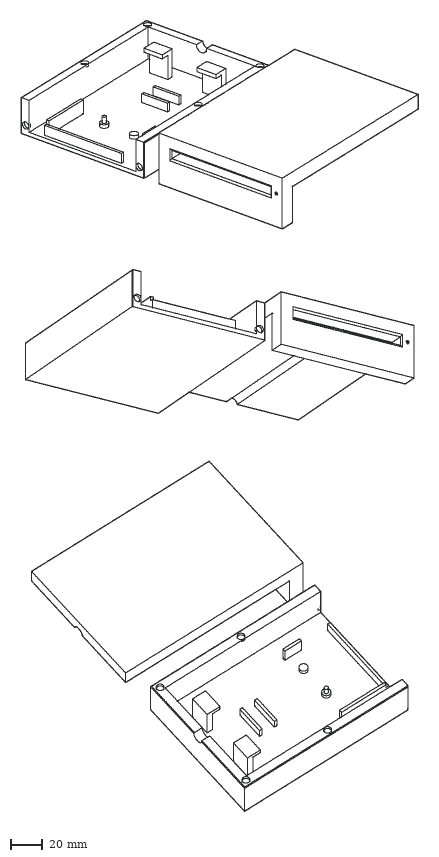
import cadquery as cq

OVERALL_LENGTH = 212.0
CASE_WIDTH = 100.0
CASE_DEPTH = 143.0
CASE_HEIGHT = 37.0
PANEL_THICKNESS = 11.0
LID_THICKNESS = 10.8
TRAY_DEPTH = CASE_DEPTH - PANEL_THICKNESS
TRAY_HEIGHT = CASE_HEIGHT - LID_THICKNESS
COVER_X = OVERALL_LENGTH - CASE_WIDTH

WALL = 6.8
FLOOR = 3.0
EDGE_CHAMFER = 0.53

CABLE_DIAMETER = 8.0
CABLE_Z = 25.9

MAGNET_DIAMETER = 5.0
MAGNET_DEPTH = 2.0
MAGNET_INSET = 4.0
CORNER_INSET = 4.5
SIDE_MAGNET_Y = 62.1
FRONT_MAGNET_Z = 7.0

TOWER_LEFT_EDGES = (19.0, 62.0)
TOWER_WIDTHS = (14.8, 15.5)
TOWER_Y = 105.0
TOWER_DEPTH = 10.4
TOWER_TOP = 23.5
HOOK_THICKNESS = 3.0
STEM_DEPTH = 4.5

RIB_THICKNESS = 2.1
RIB_X = 39.5
RIB_LENGTH = 21.0
RIB_HEIGHT = 6.4
RIB_FRONT_FACES = (76.1, 88.0)
FENCE_LEFT = 17.0
FENCE_RIGHT = 79.3
FENCE_FRONT = 3.0
FENCE_BACK = 41.1
FRONT_FENCE_HEIGHT = 7.2
SIDE_FENCE_HEIGHT = 10.2
SHORT_FENCE_LENGTH = 13.4

POST_DIAMETER = 6.0
POST_HEIGHT = 2.5
POST_Y = 36.0
PIN_POST_X = 39.9
PLAIN_POST_X = 64.0
PIN_DIAMETER = 2.8
PIN_LENGTH = 4.7

SLOT_WIDTH = 80.5
SLOT_BOTTOM = 21.2
SLOT_TOP = 27.1
SLOT_BEVEL_SIDE = 0.8
SLOT_BEVEL_DEPTH = 1.0
SLOT_BEVEL_RISE = 1.5
LAMP_DIAMETER = 2.0
LAMP_DEPTH = 1.0
LAMP_X = 95.2
LAMP_Z = 24.2


def block(x, y, z, dx, dy, dz):
    """Box given by its left-front-bottom corner and its sizes."""
    return cq.Workplane("XY").box(dx, dy, dz, centered=False).translate((x, y, z))


def upright(x, y, z, diameter, height):
    """Vertical cylinder standing on the point (x, y, z)."""
    return cq.Workplane("XY").circle(diameter / 2).extrude(height).translate((x, y, z))


def lengthwise(x, y, z, diameter, length):
    """Cylinder along +Y starting at the point (x, y, z)."""
    return cq.Workplane("XZ").circle(diameter / 2).extrude(-length).translate((x, y, z))


def tray_shell():
    """Floor with two side walls and a back wall, open at the front and the top."""
    shell = block(0, 0, 0, CASE_WIDTH, TRAY_DEPTH, TRAY_HEIGHT)
    shell = shell.edges("((<X or >X or >Y) and >Z) or (<Y and (<X or >X))").chamfer(EDGE_CHAMFER)
    pocket = block(WALL, 0, FLOOR, CASE_WIDTH - 2 * WALL, TRAY_DEPTH - WALL, TRAY_HEIGHT)
    return shell.cut(pocket)


def tower(x, width):
    """Upright stem whose top reaches forward as a hook."""
    hook = block(x, TOWER_Y, TOWER_TOP - HOOK_THICKNESS, width, TOWER_DEPTH, HOOK_THICKNESS)
    stem_y = TOWER_Y + TOWER_DEPTH - STEM_DEPTH
    stem = block(x, stem_y, FLOOR, width, STEM_DEPTH, TOWER_TOP - FLOOR)
    return stem.union(hook)


def fences():
    """Front and left fences forming an L, and a short fence on the right."""
    front = block(FENCE_LEFT, FENCE_FRONT, FLOOR,
                  FENCE_RIGHT - FENCE_LEFT, RIB_THICKNESS, FRONT_FENCE_HEIGHT)
    left_y = FENCE_FRONT + RIB_THICKNESS
    left = block(FENCE_LEFT, left_y, FLOOR,
                 RIB_THICKNESS, FENCE_BACK - left_y, SIDE_FENCE_HEIGHT)
    right = block(FENCE_RIGHT - RIB_THICKNESS, FENCE_BACK - SHORT_FENCE_LENGTH, FLOOR,
                  RIB_THICKNESS, SHORT_FENCE_LENGTH, SIDE_FENCE_HEIGHT)
    return [front, left, right]


def posts():
    """A plain round post and one that carries a locating pin."""
    plain = upright(PLAIN_POST_X, POST_Y, FLOOR, POST_DIAMETER, POST_HEIGHT)
    base = upright(PIN_POST_X, POST_Y, FLOOR, POST_DIAMETER, POST_HEIGHT)
    pin = upright(PIN_POST_X, POST_Y, FLOOR, PIN_DIAMETER, POST_HEIGHT + PIN_LENGTH)
    return [plain, base.union(pin)]


def magnet_pockets():
    """Pockets in the wall tops and in the front ends of the side walls."""
    pocket_floor = TRAY_HEIGHT - MAGNET_DEPTH
    corner_y = TRAY_DEPTH - CORNER_INSET
    pockets = []
    for x in (CORNER_INSET, CASE_WIDTH - CORNER_INSET):
        pockets.append(upright(x, corner_y, pocket_floor, MAGNET_DIAMETER, MAGNET_DEPTH))
    for x in (MAGNET_INSET, CASE_WIDTH - MAGNET_INSET):
        pockets.append(upright(x, SIDE_MAGNET_Y, pocket_floor, MAGNET_DIAMETER, MAGNET_DEPTH))
        pockets.append(lengthwise(x, 0, FRONT_MAGNET_Z, MAGNET_DIAMETER, MAGNET_DEPTH))
    return pockets


def make_tray():
    tray = tray_shell()
    for x, width in zip(TOWER_LEFT_EDGES, TOWER_WIDTHS):
        tray = tray.union(tower(x, width))
    for y in RIB_FRONT_FACES:
        tray = tray.union(block(RIB_X, y, FLOOR, RIB_LENGTH, RIB_THICKNESS, RIB_HEIGHT))
    for standing_part in fences() + posts():
        tray = tray.union(standing_part)
    for pocket in magnet_pockets():
        tray = tray.cut(pocket)
    cable_notch = lengthwise(CASE_WIDTH / 2, TRAY_DEPTH - WALL, CABLE_Z, CABLE_DIAMETER, WALL)
    return tray.cut(cable_notch)


def slot_cutter():
    """Slot through the front panel, flared all round at its front."""
    height = SLOT_TOP - SLOT_BOTTOM
    middle_z = (SLOT_TOP + SLOT_BOTTOM) / 2
    passage = cq.Workplane("XZ").rect(SLOT_WIDTH, height).extrude(-PANEL_THICKNESS)
    flare = (
        cq.Workplane("XZ")
        .rect(SLOT_WIDTH + 2 * SLOT_BEVEL_SIDE, height + 2 * SLOT_BEVEL_RISE)
        .workplane(offset=-SLOT_BEVEL_DEPTH)
        .rect(SLOT_WIDTH, height)
        .loft(ruled=True)
    )
    return passage.union(flare).translate((COVER_X + CASE_WIDTH / 2, 0, middle_z))


def make_cover():
    """Front panel and top plate in one L, with the slot, lamp recess and cable groove."""
    panel = block(COVER_X, 0, 0, CASE_WIDTH, PANEL_THICKNESS, CASE_HEIGHT)
    lid = block(COVER_X, 0, TRAY_HEIGHT, CASE_WIDTH, CASE_DEPTH, LID_THICKNESS)
    cable_groove = lengthwise(COVER_X + CASE_WIDTH / 2, PANEL_THICKNESS, CABLE_Z,
                              CABLE_DIAMETER, TRAY_DEPTH)
    lamp = lengthwise(COVER_X + LAMP_X, 0, LAMP_Z, LAMP_DIAMETER, LAMP_DEPTH)
    return panel.union(lid).cut(slot_cutter()).cut(cable_groove).cut(lamp)


tray = make_tray()
cover = make_cover()
result = cq.Compound.makeCompound([tray.val(), cover.val()])